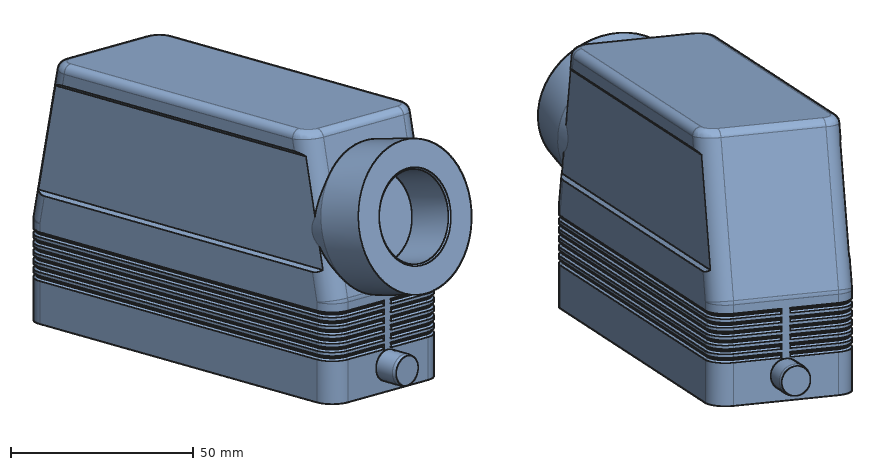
import cadquery as cq
import math

body_length = 120.0
body_width = 43.0
body_height = 76.0
bend_height = 29.4
bend_radius = 5.5
end_lean = 12.0
corner_radius = 6.0
top_edge_radius = 2.5

recess_bottom = 37.0
recess_top = 70.1
recess_depth = 1.0

groove_count = 6
groove_pitch = 2.5
groove_width = 1.5
groove_floor_width = 0.4
groove_depth = 0.8
lowest_groove_height = 13.05
rib_width = 2.6

peg_diameter = 9.0
peg_height = 7.5
peg_tip_x = 67.6
peg_tip_length = 1.3
peg_tip_inset = 0.25

entry_diameter = 43.0
entry_mouth_x = 70.67
entry_mouth_height = 52.2
entry_length = 15.0
entry_taper_length = 7.5
entry_taper_inset = 1.5
bore_diameter = 26.2
bore_chamfer = 0.5

half_length = body_length / 2
half_width = body_width / 2


def make_body():
    """Hood block with rounded bends, corners and top edges."""
    top_half_length = half_length - (body_height - bend_height) * math.tan(math.radians(end_lean))
    block = (
        cq.Workplane("XZ")
        .polyline([
            (-half_length, 0),
            (half_length, 0),
            (half_length, bend_height),
            (top_half_length, body_height),
            (-top_half_length, body_height),
            (-half_length, bend_height),
        ])
        .close()
        .extrude(half_width, both=True)
    )
    at_bend = cq.selectors.BoxSelector(
        (-body_length, -body_width, bend_height - bend_radius),
        (body_length, body_width, bend_height + bend_radius),
    )
    block = block.edges("|Y").edges(at_bend).fillet(bend_radius)
    side_corners = block.faces("<Y or >Y").edges("not(<Z or >Z)")
    return side_corners.fillet(corner_radius).faces(">Z").edges().fillet(top_edge_radius)


def make_side_recess(side):
    """Cutter for one long side; side is +1 or -1 along Y."""
    floor_y = side * (half_width - recess_depth)
    outer_y = side * half_width
    return (
        cq.Workplane("YZ")
        .polyline([
            (outer_y, recess_bottom),
            (floor_y, recess_bottom + recess_depth),
            (floor_y, recess_top - recess_depth),
            (outer_y, recess_top),
        ])
        .close()
        .extrude(half_length, both=True)
    )


def make_groove(height):
    """Tapered-wall groove cutter around the skirt, leaving the end ribs."""
    skirt_above = (
        cq.Workplane("XY", origin=(0, 0, height))
        .rect(body_length, body_width)
        .extrude(groove_width)
        .edges("|Z")
        .fillet(corner_radius)
    )
    outline = skirt_above.faces("<Z").wires()
    ring = (
        cq.Workplane("YZ", origin=(0, -half_width, height))
        .polyline([
            (0, -groove_width / 2),
            (groove_depth, -groove_floor_width / 2),
            (groove_depth, groove_floor_width / 2),
            (0, groove_width / 2),
        ])
        .close()
        .sweep(outline)
    )
    rib_zone = cq.Workplane("XY").box(2 * body_length, rib_width, 2 * body_height)
    return ring.cut(rib_zone)


def make_peg(side):
    """Locking peg with a slightly tapered tip; side is +1 or -1 along X."""
    buried_length = corner_radius
    peg_length = peg_tip_x - half_length + buried_length
    peg = cq.Workplane("YZ").circle(peg_diameter / 2).extrude(peg_length)
    peg = peg.faces(">X").chamfer(peg_tip_length, peg_tip_inset)
    if side < 0:
        peg = peg.mirror("YZ")
    return peg.translate((side * (peg_tip_x - peg_length), 0, peg_height))


def place_on_entry_axis(shape):
    """Move a shape built along +X from its mouth at the origin onto the entry axis."""
    tilted = shape.rotate((0, 0, 0), (0, 1, 0), -end_lean)
    return tilted.translate((entry_mouth_x, 0, entry_mouth_height))


def make_entry():
    """Cable entry tube with a tapered root buried in the body."""
    outer_radius = entry_diameter / 2
    root_x = -entry_length - entry_taper_length
    tube = (
        cq.Workplane("XY")
        .polyline([
            (0, 0),
            (0, outer_radius),
            (-entry_length, outer_radius),
            (root_x, outer_radius - entry_taper_inset),
            (root_x, 0),
        ])
        .close()
        .revolve(360, (0, 0), (1, 0))
    )
    return place_on_entry_axis(tube)


def make_bore():
    """Blind chamfered bore, as deep as the tube is long."""
    bore_radius = bore_diameter / 2
    bore = (
        cq.Workplane("XY")
        .polyline([
            (0, 0),
            (0, bore_radius + bore_chamfer),
            (-bore_chamfer, bore_radius),
            (-entry_length, bore_radius),
            (-entry_length, 0),
        ])
        .close()
        .revolve(360, (0, 0), (1, 0))
    )
    return place_on_entry_axis(bore)


result = make_body()
for side in (-1, 1):
    result = result.cut(make_side_recess(side))
for index in range(groove_count):
    result = result.cut(make_groove(lowest_groove_height + index * groove_pitch))
for side in (-1, 1):
    result = result.union(make_peg(side))
result = result.union(make_entry()).cut(make_bore())